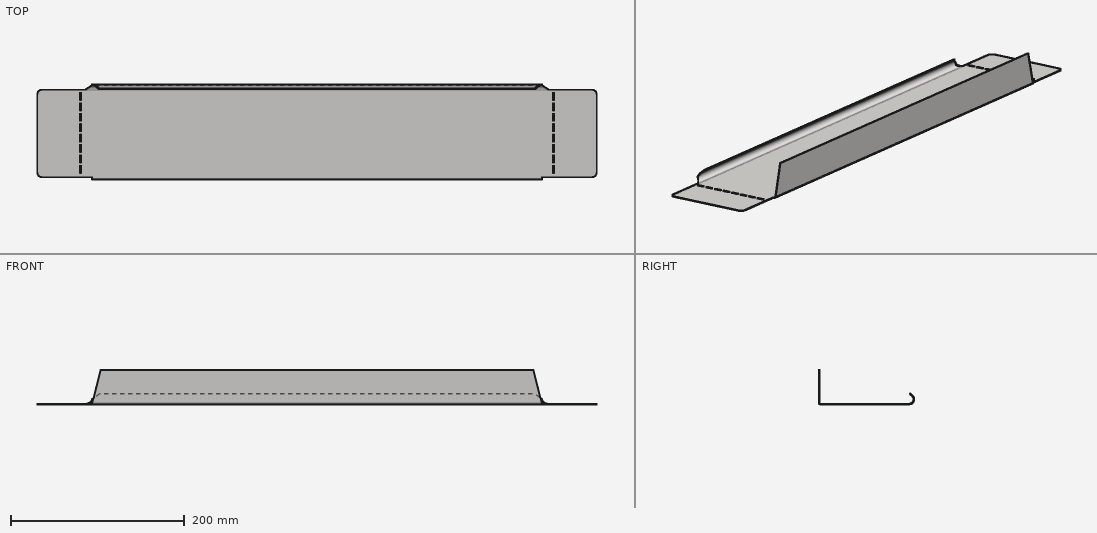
import cadquery as cq
import math

length = 645.0
depth = 110.0
height = 40.0
sheet = 1.0

front_bend_radius = 2.0
front_edge_setback = 1.0
lip_bend_radius = 6.0
plate_depth = depth - front_bend_radius - front_edge_setback - lip_bend_radius
plate_corner_radius = 5.5

flange_base_length = 519.0
flange_top_length = 499.0

lip_base_length = 534.0
lip_tip_straight = 4.0
lip_bend_angle = 135.0
upright_angle = 90.0
lip_wall_setback = 7.5
lip_tip_setback = 16.5

fold_line_inset = 50.0
slot_length = 8.0
slot_width = 1.5
slot_pitch = 12.0
slots_per_line = 8
slot_row_shift = 0.75

plate_front = -plate_depth / 2
plate_back = plate_depth / 2
bend_start = plate_front - front_edge_setback


def extrude_along_x(profile, span):
    """Extrude a closed YZ profile by a span centred on X = 0."""
    return profile.extrude(span / 2, both=True)


def make_plate():
    """Flat base with rounded corners."""
    return (
        cq.Workplane("XY")
        .rect(length, plate_depth)
        .extrude(sheet)
        .edges("|Z")
        .fillet(plate_corner_radius)
    )


def make_front_flange():
    """Short strip off the plate, quarter bend and upright wall with ends leaning inward."""
    outer = front_bend_radius
    inner = outer - sheet
    diagonal = math.sqrt(0.5)
    wall_outer = bend_start - outer
    profile = (
        cq.Workplane("YZ")
        .moveTo(plate_front, 0)
        .lineTo(bend_start, 0)
        .threePointArc((bend_start - outer * diagonal, outer * (1 - diagonal)), (wall_outer, outer))
        .lineTo(wall_outer, height)
        .lineTo(wall_outer + sheet, height)
        .lineTo(wall_outer + sheet, outer)
        .threePointArc((bend_start - inner * diagonal, outer - inner * diagonal), (bend_start, sheet))
        .lineTo(plate_front, sheet)
        .close()
    )
    face = (
        cq.Workplane("XZ")
        .polyline([
            (-flange_base_length / 2, 0),
            (flange_base_length / 2, 0),
            (flange_top_length / 2, height),
            (-flange_top_length / 2, height),
        ])
        .close()
        .extrude(depth, both=True)
    )
    return extrude_along_x(profile, flange_base_length).intersect(face)


def lip_point(radius, angle, straight=0.0):
    """YZ point on the curl at an angle turned from the plate, moved on along the tangent."""
    turn = math.radians(angle)
    y = plate_back + radius * math.sin(turn) + straight * math.cos(turn)
    z = lip_bend_radius - radius * math.cos(turn) + straight * math.sin(turn)
    return y, z


def lip_profile(start_angle, end_angle, straight=0.0):
    """Closed YZ section of the curl between two angles, with an optional flat beyond it."""
    outer = lip_bend_radius
    inner = outer - sheet
    middle_angle = (start_angle + end_angle) / 2
    profile = (
        cq.Workplane("YZ")
        .moveTo(*lip_point(outer, start_angle))
        .threePointArc(lip_point(outer, middle_angle), lip_point(outer, end_angle))
    )
    if straight:
        profile = (
            profile
            .lineTo(*lip_point(outer, end_angle, straight))
            .lineTo(*lip_point(inner, end_angle, straight))
        )
    return (
        profile
        .lineTo(*lip_point(inner, end_angle))
        .threePointArc(lip_point(inner, middle_angle), lip_point(inner, start_angle))
        .close()
    )


def make_lower_lip():
    """Curl from the plate to upright; its ends draw in with Y as far as the inner radius."""
    half_base = lip_base_length / 2
    half_wall = half_base - lip_wall_setback
    wall_inner = plate_back + lip_bend_radius - sheet
    wall_outer = plate_back + lip_bend_radius
    plan = (
        cq.Workplane("XY")
        .polyline([
            (-half_base, plate_back),
            (half_base, plate_back),
            (half_wall, wall_inner),
            (half_wall, wall_outer),
            (-half_wall, wall_outer),
            (-half_wall, wall_inner),
        ])
        .close()
        .extrude(lip_bend_radius)
    )
    return extrude_along_x(lip_profile(0, upright_angle), lip_base_length).intersect(plan)


def make_upper_lip():
    """Curl from upright to the tip; its ends draw in with Z."""
    half_wall = lip_base_length / 2 - lip_wall_setback
    half_tip = lip_base_length / 2 - lip_tip_setback
    tip_z = lip_point(lip_bend_radius, lip_bend_angle, lip_tip_straight)[1]
    elevation = (
        cq.Workplane("XZ")
        .polyline([
            (-half_wall, lip_bend_radius),
            (half_wall, lip_bend_radius),
            (half_tip, tip_z),
            (-half_tip, tip_z),
        ])
        .close()
        .extrude(depth, both=True)
    )
    profile = lip_profile(upright_angle, lip_bend_angle, lip_tip_straight)
    return extrude_along_x(profile, lip_base_length).intersect(elevation)


def make_fold_slots():
    """Two rows of through slots, one row near each end of the plate."""
    row_spacing = length - 2 * fold_line_inset
    return (
        cq.Workplane("XY")
        .center(0, slot_row_shift)
        .rarray(row_spacing, slot_pitch, 2, slots_per_line)
        .rect(slot_width, slot_length)
        .extrude(sheet)
    )


result = (
    make_plate()
    .union(make_front_flange())
    .union(make_lower_lip())
    .union(make_upper_lip())
    .cut(make_fold_slots())
)